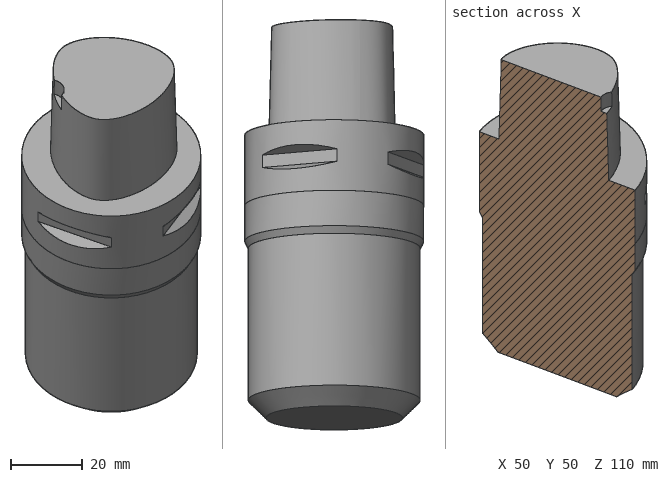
import cadquery as cq
import math

SHANK_LENGTH = 30.0
FLANGE_HEIGHT = 20.0
COLLAR_HEIGHT = 10.0
COLLAR_BEVEL_HEIGHT = 2.0
BODY_LENGTH = 80.0
END_CHAMFER = 5.0

FLANGE_DIAMETER = 50.0
COLLAR_DIAMETER = 49.98
BODY_DIAMETER = 48.0

SHANK_BASE_WIDTH = 35.3
SHANK_TAPER = 1 / 20
SHANK_TOP_WIDTH = SHANK_BASE_WIDTH - SHANK_TAPER * SHANK_LENGTH
LOBE_ECCENTRICITY = 1.12
LOBE_COUNT = 3
FLANK_HALF_ANGLE = 24.7
SPLINE_SPANS = 8

NOTCH_RADIUS = 4.2
NOTCH_DEPTH = 5.3
NOTCH_FLOOR_Y = -14.0

GROOVE_COUNT = 4
GROOVE_FIRST_ANGLE = 45.0
GROOVE_FLOOR_HEIGHT = 3.5
GROOVE_FLOOR_DISTANCE = 22.2
GROOVE_WALL_ANGLE = 30.0
GROOVE_CENTRE_Z = -FLANGE_HEIGHT / 2


def make_body():
    """Flange, collar and chamfered cylinder, turned about Z."""
    flange_radius = FLANGE_DIAMETER / 2
    collar_radius = COLLAR_DIAMETER / 2
    body_radius = BODY_DIAMETER / 2
    collar_bottom = -FLANGE_HEIGHT - COLLAR_HEIGHT
    profile = [
        (0, 0),
        (flange_radius, 0),
        (flange_radius, -FLANGE_HEIGHT),
        (collar_radius, -FLANGE_HEIGHT),
        (collar_radius, collar_bottom),
        (body_radius, collar_bottom - COLLAR_BEVEL_HEIGHT),
        (body_radius, END_CHAMFER - BODY_LENGTH),
        (body_radius - END_CHAMFER, -BODY_LENGTH),
        (0, -BODY_LENGTH),
    ]
    return cq.Workplane("XZ").polyline(profile).close().revolve(360, (0, 0), (0, 1))


def shank_point(width, normal_angle, z):
    """Point of the lobed section where the outward normal has the given angle."""
    angle = math.radians(normal_angle)
    lobe_phase = LOBE_COUNT * (angle - math.pi / 2)
    support = width / 2 + LOBE_ECCENTRICITY * math.cos(lobe_phase)
    slide = -LOBE_COUNT * LOBE_ECCENTRICITY * math.sin(lobe_phase)
    x = support * math.cos(angle) - slide * math.sin(angle)
    y = support * math.sin(angle) + slide * math.cos(angle)
    return cq.Vector(x, y, z)


def shank_edge(width, start_angle, end_angle, z):
    """Smooth stretch of the section between two normal directions."""
    step = (end_angle - start_angle) / SPLINE_SPANS
    points = [shank_point(width, start_angle + i * step, z) for i in range(SPLINE_SPANS + 1)]
    tangents = []
    for end in (start_angle, end_angle):
        angle = math.radians(end)
        tangents.append(cq.Vector(-math.sin(angle), math.cos(angle), 0))
    return cq.Edge.makeSpline(points, tangents)


def shank_section(width, z):
    """Closed section of alternating flanks and lobes, starting at the -Y flank."""
    pitch = 360 / LOBE_COUNT
    edges = []
    for i in range(LOBE_COUNT):
        middle = -90 + i * pitch
        flank_start = middle - FLANK_HALF_ANGLE
        flank_end = middle + FLANK_HALF_ANGLE
        edges.append(shank_edge(width, flank_start, flank_end, z))
        edges.append(shank_edge(width, flank_end, flank_start + pitch, z))
    return cq.Wire.assembleEdges(edges)


def make_shank():
    """Tapered polygon shank standing on the flange face."""
    base = shank_section(SHANK_BASE_WIDTH, 0)
    top = shank_section(SHANK_TOP_WIDTH, SHANK_LENGTH)
    return cq.Workplane(cq.Solid.makeLoft([base, top], True))


def make_notch():
    """Upright cylinder that cuts the key notch into the top of the shank."""
    return (
        cq.Workplane("XY", origin=(0, NOTCH_FLOOR_Y - NOTCH_RADIUS, SHANK_LENGTH - NOTCH_DEPTH))
        .circle(NOTCH_RADIUS)
        .extrude(NOTCH_DEPTH)
    )


def make_groove(angle):
    """Straight trapezoidal groove across the flange rim, facing the given angle."""
    outer_distance = FLANGE_DIAMETER / 2
    floor_half = GROOVE_FLOOR_HEIGHT / 2
    wall_rise = (outer_distance - GROOVE_FLOOR_DISTANCE) * math.tan(math.radians(GROOVE_WALL_ANGLE))
    mouth_half = floor_half + wall_rise
    profile = [
        (GROOVE_FLOOR_DISTANCE, GROOVE_CENTRE_Z - floor_half),
        (outer_distance, GROOVE_CENTRE_Z - mouth_half),
        (outer_distance, GROOVE_CENTRE_Z + mouth_half),
        (GROOVE_FLOOR_DISTANCE, GROOVE_CENTRE_Z + floor_half),
    ]
    groove = cq.Workplane("XZ").polyline(profile).close().extrude(FLANGE_DIAMETER / 2, both=True)
    return groove.rotate((0, 0, 0), (0, 0, 1), angle)


result = make_body().union(make_shank()).cut(make_notch())
for i in range(GROOVE_COUNT):
    result = result.cut(make_groove(GROOVE_FIRST_ANGLE + i * 360 / GROOVE_COUNT))